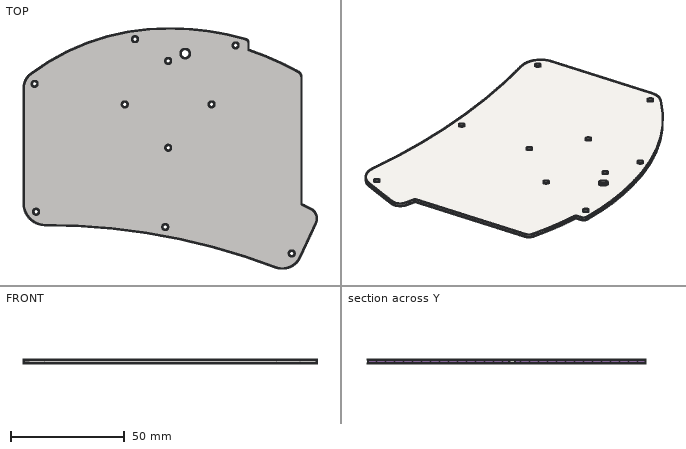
import cadquery as cq

length = 129.1
width = 105.7
thickness = 1.5
body_right = 122.4
step_x = 99.0

screw_diameter = 2.5
large_diameter = 4.0

pattern_center = (63.7, 72.3)
pattern_radius = 19.1
pattern_holes = [
    (pattern_center[0] + dx * pattern_radius, pattern_center[1] + dy * pattern_radius)
    for dx, dy in [(1, 0), (0, 1), (-1, 0), (0, -1)]
]

edge_holes = [
    (4.9, 81.3),
    (49.0, 101.0),
    (93.3, 98.3),
    (5.5, 25.0),
    (62.4, 18.3),
    (118.0, 6.7),
]
large_hole = (71.1, 94.6)


def plate():
    """Flat plate outlined clockwise from the bottom of its straight left edge."""
    outline = (
        cq.Workplane("XY")
        .moveTo(0, 27.9)
        .lineTo(0, 79.8)
        .threePointArc((1.0, 83.3), (3.4, 85.9))
        .threePointArc((31.8, 100.7), (64.8, width))
        .threePointArc((81.3, 104.6), (97.1, 101.2))
        .threePointArc((98.3, 100.7), (step_x, 99.8))
        .lineTo(step_x, 96.3)
        .threePointArc((110.0, 92.0), (120.7, 86.8))
        .threePointArc((122.0, 85.5), (body_right, 83.7))
        .lineTo(body_right, 28.4)
        .lineTo(126.4, 26.3)
        .threePointArc((length, 22.3), (128.7, 20.1))
        .lineTo(121.8, 5.2)
        .threePointArc((113.9, 0), (111.3, 0.4))
        .threePointArc((62.0, 14.3), (9.3, 19.1))
        .threePointArc((2.8, 22.0), (0, 27.9))
        .close()
    )
    return outline.extrude(thickness)


def through_holes(centers, diameter):
    """Cutters for round holes through the full thickness."""
    return cq.Workplane("XY").pushPoints(centers).circle(diameter / 2).extrude(thickness)


result = (
    plate()
    .cut(through_holes(pattern_holes + edge_holes, screw_diameter))
    .cut(through_holes([large_hole], large_diameter))
)